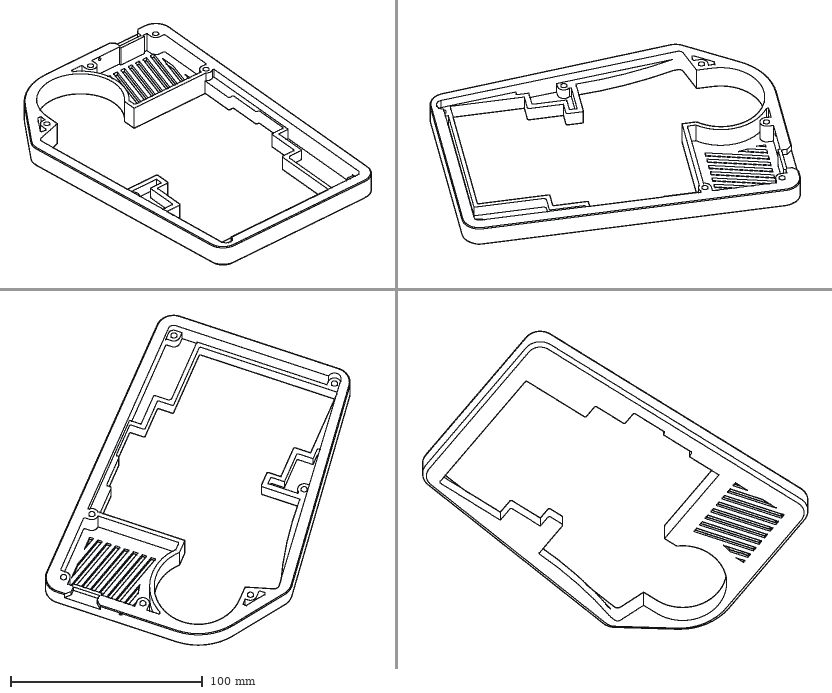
import cadquery as cq
import math


length = 179.4
height = 13.0
bottom_chamfer = 2.0
top_chamfer = 0.5
corner_radius = 9.2
side_arc_radius = 32.0
right_front_y = -106.1
left_front_y = -93.0
front_tip = (44.2, -122.75)

floor_z = 2.0
ledge_z = 8.0

wall = 6.4
inner_right_x = length - wall
thin_wall = 2.4
inner_front_left = (45.5, -116.05)
inner_front_right_y = -101.5
cavity_radius = corner_radius - wall
small_radius = 0.75
ledge_corner_radius = 1.0

ring_center = (29.3, -77.0)
ring_radius = 22.9
ring_front_y = ring_center[1] - ring_radius

screw_diameter = 3.2
boss_radius = 3.4
boss_arm_reach = 10.0
screw_inset = 9.5
left_boss = (screw_inset, -53.7)
corner_boss = (screw_inset, -screw_inset)
divider_boss = (50.5, -screw_inset)
back_right_boss = (length - screw_inset, -screw_inset)
front_right_boss = (172.6, -98.1)
front_middle_boss = (107.0, -106.35)
tip_boss = (34.4, -104.2)

divider_x = 53.0
compartment_right_x = divider_x - thin_wall
divider_end_y = -60.5
compartment_end_y = divider_end_y + thin_wall
compartment_left_end_y = -64.0

vent_left, vent_right = 11.1, 43.1
vent_back, vent_front = -11.1, -48.1
vent_angle = 15.0
vent_pitch = 4.96
vent_width = 2.4
vent_first_y = -2.2
vent_count = 10
vent_ring_clearance = 8.5

notch_back_y, notch_front_y = -16.3, -30.8
notch_depth = 5.8
notch_floor_z = 9.5
notch_flare = 2.8
notch_pad = 1.2
notch_pad_margin = 0.8

pin_hole_diameter = 1.5
pin_hole_y = -44.9
pin_hole_z = 11.3

ledge_back_steps = [(-12.2, 72.3), (-9.3, 91.1), (-7.5, 111.1), (-15.8, 129.9), (-24.5, 168.2)]
tongue_left_x, tongue_right_x, tongue_y = 100.6, 109.9, -84.6
shelf_right_x, shelf_y = 128.9, -92.2
tip_edge_x = 37.8
tip_foot_x = 42.8
tip_foot_radius = 2.6
front_curve_end_y = -106.35
front_curve_middle = (75.5, -109.1)
front_curve_start_x = 47.5

right_pocket_left_x = 113.5
right_pocket_step_x, right_pocket_step_y = 132.3, -12.8
right_pocket_front_y = -22.2
right_pocket_step_radius = 1.75
right_slot_left_x = 170.5
right_slot_end_y = -94.6

tongue_pocket_left_x, tongue_pocket_right_x = 103.5, 107.6
tongue_pocket_back_y = -87.5
shelf_pocket_right_x, shelf_pocket_y = 126.0, -95.1
shelf_slot_right_x, shelf_slot_y = 132.5, -104.0
middle_boss_web_y = -104.0

tip_pocket_left_x, tip_pocket_right_x = 27.6, 38.3
tip_pocket_back_y = -102.6
tip_pocket_left_end_y = -104.6


def rounded_outline(corners):
    """Closed wire through (x, y, radius) corners, each rounded by its radius."""
    starts, middles, ends = [], [], []
    for i, (x, y, radius) in enumerate(corners):
        corner = cq.Vector(x, y)
        before = (cq.Vector(*corners[i - 1][:2]) - corner).normalized()
        after = (cq.Vector(*corners[(i + 1) % len(corners)][:2]) - corner).normalized()
        half_angle = before.getAngle(after) / 2
        bisector = (before + after).normalized()
        starts.append(corner + before * (radius / math.tan(half_angle)))
        middles.append(corner + bisector * (radius / math.sin(half_angle) - radius))
        ends.append(corner + after * (radius / math.tan(half_angle)))
    edges = []
    for i, (x, y, radius) in enumerate(corners):
        if radius > 0:
            edges.append(cq.Edge.makeThreePointArc(starts[i], middles[i], ends[i]))
        edges.append(cq.Edge.makeLine(ends[i], starts[(i + 1) % len(corners)]))
    return cq.Wire.assembleEdges(edges)


def prism(corners, z_low, z_high):
    """Upright prism over a rounded outline."""
    solid = cq.Solid.extrudeLinear(rounded_outline(corners), [], cq.Vector(0, 0, z_high - z_low))
    return cq.Workplane(solid.translate(cq.Vector(0, 0, z_low)))


def box(x_low, x_high, y_low, y_high, z_low, z_high):
    """Axis-aligned block between two limits on each axis."""
    size = (x_high - x_low, y_high - y_low, z_high - z_low)
    return cq.Workplane().box(*size, centered=False).translate((x_low, y_low, z_low))


def cylinder(center, radius, z_low, z_high):
    """Upright cylinder."""
    return cq.Workplane().circle(radius).extrude(z_high - z_low).translate((*center, z_low))


def corner_boss_block(center, x_side, y_side, z_high):
    """Boss from the floor up, filled in towards the corner on its x_side and y_side (+1 or -1)."""
    x, y = center
    far_x = x + x_side * boss_arm_reach
    far_y = y + y_side * boss_arm_reach
    near_x = x - x_side * boss_radius
    near_y = y - y_side * boss_radius
    low_y, high_y = sorted((y, far_y))
    block = cylinder(center, boss_radius, floor_z, z_high)
    block = block.union(box(min(near_x, far_x), max(near_x, far_x), low_y, high_y, floor_z, z_high))
    low_x, high_x = sorted((x, far_x))
    return block.union(box(low_x, high_x, min(near_y, far_y), max(near_y, far_y), floor_z, z_high))


def round_upright_edge(solid, x, y):
    """Small fillet on the vertical edge at (x, y)."""
    reach = small_radius / 10
    selector = cq.selectors.BoxSelector((x - reach, y - reach, 0), (x + reach, y + reach, height))
    return solid.edges("|Z").edges(selector).fillet(small_radius)


def inner_front_y(x):
    """Y of the inside face of the sloping front wall."""
    left_x, left_y = inner_front_left
    slope = (inner_front_right_y - left_y) / (inner_right_x - left_x)
    return left_y + slope * (x - left_x)


def make_body():
    outline = [
        (0, 0, corner_radius),
        (length, 0, corner_radius),
        (length, right_front_y, corner_radius),
        (*front_tip, corner_radius),
        (0, left_front_y, side_arc_radius),
    ]
    body = prism(outline, 0, height)
    body = body.faces("<Z").chamfer(bottom_chamfer)
    return body.faces(">Z").chamfer(top_chamfer)


def make_opening():
    corners = [(ring_center[0], divider_end_y, 0), (divider_x, divider_end_y, 0)]
    start_x = divider_x
    for step_y, end_x in ledge_back_steps:
        corners.append((start_x, step_y, 0 if start_x == divider_x else small_radius))
        corners.append((end_x, step_y, small_radius))
        start_x = end_x
    corners += [
        (start_x, inner_front_right_y, small_radius),
        (shelf_right_x, inner_front_right_y, 0),
        (shelf_right_x, shelf_y, ledge_corner_radius),
        (tongue_right_x, shelf_y, 0),
        (tongue_right_x, tongue_y, ledge_corner_radius),
        (tongue_left_x, tongue_y, ledge_corner_radius),
        (tongue_left_x, front_curve_end_y, 0),
        (front_curve_start_x, inner_front_y(front_curve_start_x), 0),
        (tip_foot_x, inner_front_y(tip_foot_x), tip_foot_radius),
        (tip_edge_x, ring_front_y, 0),
        (ring_center[0], ring_front_y, 0),
    ]
    opening = prism(corners, 0, height)
    opening = opening.union(cylinder(ring_center, ring_radius, 0, height))
    crescent = (
        cq.Workplane()
        .moveTo(front_curve_start_x, inner_front_y(front_curve_start_x))
        .threePointArc(front_curve_middle, (tongue_left_x, front_curve_end_y))
        .close()
        .extrude(ledge_z)
    )
    return opening.cut(crescent)


def make_ledge_recess():
    """Space above the ledge; the divider boss stays, the front-right screw gets clearance."""
    corners = [
        (divider_x, -wall, 0),
        (inner_right_x, -wall, cavity_radius),
        (inner_right_x, inner_front_right_y, 0),
        (front_curve_start_x, inner_front_y(front_curve_start_x), 0),
        (divider_x, ring_front_y, 0),
    ]
    recess = prism(corners, ledge_z, height)
    recess = recess.cut(cylinder(divider_boss, boss_radius, ledge_z, height))
    return recess.union(cylinder(front_right_boss, boss_radius, ledge_z, height))


def make_compartment():
    corners = [
        (wall, -wall, 0),
        (compartment_right_x, -wall, 0),
        (compartment_right_x, compartment_end_y, small_radius),
        (ring_center[0], compartment_end_y, 0),
        (ring_center[0], compartment_left_end_y, 0),
        (wall, compartment_left_end_y, 0),
    ]
    pocket = prism(corners, floor_z, height)
    pocket = pocket.cut(cylinder(ring_center, ring_radius + thin_wall, floor_z, height))
    pocket = pocket.cut(corner_boss_block(corner_boss, -1, 1, height))
    pocket = pocket.cut(corner_boss_block(divider_boss, 1, 1, height))
    pocket = round_upright_edge(pocket, corner_boss[0] + boss_radius, -wall)
    pocket = round_upright_edge(pocket, divider_boss[0] - boss_radius, -wall)
    x, y = left_boss
    pocket = pocket.cut(cylinder(left_boss, boss_radius, floor_z, height))
    pocket = pocket.cut(box(0, x, y - boss_radius, y + boss_radius, floor_z, height))
    pad = box(
        0,
        wall + notch_pad,
        notch_front_y - notch_pad_margin,
        notch_back_y + notch_pad_margin,
        floor_z,
        height,
    )
    return pocket.cut(pad)


def make_vents():
    rise = (vent_right - vent_left) * math.tan(math.radians(vent_angle))
    slots = cq.Workplane()
    for i in range(vent_count):
        y = vent_first_y - i * vent_pitch
        slot = [
            (vent_left, y, 0),
            (vent_right, y - rise, 0),
            (vent_right, y - rise - vent_width, 0),
            (vent_left, y - vent_width, 0),
        ]
        slots = slots.add(prism(slot, 0, floor_z))
    field = box(vent_left, vent_right, vent_front, vent_back, 0, floor_z)
    field = field.cut(cylinder(ring_center, ring_radius + vent_ring_clearance, 0, floor_z))
    return field.intersect(slots.combine())


def make_right_pocket():
    corners = [
        (right_pocket_left_x, -wall, 0),
        (inner_right_x, -wall, cavity_radius),
        (inner_right_x, right_slot_end_y, 0),
        (right_slot_left_x, right_slot_end_y, 0),
        (right_slot_left_x, right_pocket_front_y, 0),
        (right_pocket_step_x, right_pocket_front_y, right_pocket_step_radius),
        (right_pocket_step_x, right_pocket_step_y, small_radius),
        (right_pocket_left_x, right_pocket_step_y, 0),
    ]
    pocket = prism(corners, floor_z, ledge_z)
    pocket = pocket.cut(corner_boss_block(back_right_boss, 1, 1, ledge_z))
    return round_upright_edge(pocket, back_right_boss[0] - boss_radius, -wall)


def make_tongue_pocket():
    corners = [
        (tongue_pocket_left_x, tongue_pocket_back_y, 0),
        (tongue_pocket_right_x, tongue_pocket_back_y, small_radius),
        (tongue_pocket_right_x, shelf_pocket_y, 0),
        (shelf_pocket_right_x, shelf_pocket_y, small_radius),
        (shelf_pocket_right_x, shelf_slot_y, 0),
        (shelf_slot_right_x, shelf_slot_y, small_radius),
        (shelf_slot_right_x, inner_front_y(shelf_slot_right_x), 0),
        (tongue_pocket_left_x, inner_front_y(tongue_pocket_left_x), 0),
    ]
    pocket = prism(corners, floor_z, ledge_z)
    x, y = front_middle_boss
    pocket = pocket.cut(cylinder(front_middle_boss, boss_radius, floor_z, ledge_z))
    pocket = pocket.cut(box(0, x, y - boss_arm_reach, middle_boss_web_y, floor_z, ledge_z))
    return pocket.cut(box(x, x + boss_radius, y - boss_arm_reach, y, floor_z, ledge_z))


def make_tip_pocket():
    slope = (front_tip[1] - left_front_y) / front_tip[0]
    right_end_y = tip_pocket_left_end_y + slope * (tip_pocket_right_x - tip_pocket_left_x)
    corners = [
        (tip_pocket_left_x, tip_pocket_back_y, 0),
        (tip_pocket_right_x, tip_pocket_back_y, 0),
        (tip_pocket_right_x, right_end_y, small_radius),
        (tip_pocket_left_x, tip_pocket_left_end_y, 0),
    ]
    pocket = prism(corners, floor_z, height)
    pocket = pocket.cut(corner_boss_block(tip_boss, 1, 1, height))
    return round_upright_edge(pocket, tip_pocket_right_x, tip_boss[1] - boss_radius)


def make_notch():
    notch = box(0, notch_depth, notch_front_y, notch_back_y, notch_floor_z, height)
    flare = [
        (0, notch_back_y + notch_flare, 0),
        (notch_flare, notch_back_y, 0),
        (notch_flare, notch_front_y, 0),
        (0, notch_front_y - notch_flare, 0),
    ]
    return notch.union(prism(flare, notch_floor_z, height))


def make_pin_hole():
    hole = cq.Workplane("YZ").center(pin_hole_y, pin_hole_z)
    return hole.circle(pin_hole_diameter / 2).extrude(wall)


def make_screw_holes():
    holes = cq.Workplane()
    for boss in (
        corner_boss,
        divider_boss,
        left_boss,
        tip_boss,
        back_right_boss,
        front_right_boss,
        front_middle_boss,
    ):
        holes = holes.add(cylinder(boss, screw_diameter / 2, floor_z, height))
    return holes.combine()


result = make_body()
for cutter in (
    make_opening(),
    make_ledge_recess(),
    make_compartment(),
    make_vents(),
    make_right_pocket(),
    make_tongue_pocket(),
    make_tip_pocket(),
    make_notch(),
    make_pin_hole(),
    make_screw_holes(),
):
    result = result.cut(cutter)